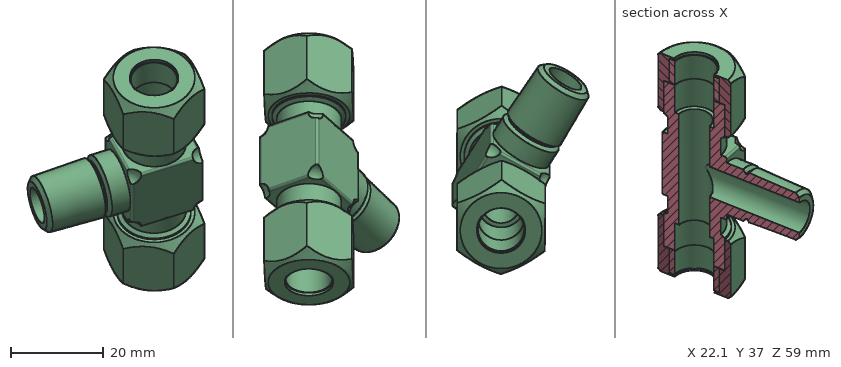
import cadquery as cq
import math


run_half = 29.5
stud_reach = 27.5
bore_radius = 4.0

block_x = 15.0
block_y = 17.0
block_z = 17.0
block_edge_fillet = 0.55
corner_scoop_radius = 2.4
scoop_turn = 30

neck_radius = 7.0
thread_radius = 8.0
neck_end = 13.0
runout_angle = 30
thread_start = neck_end + (thread_radius - neck_radius) * math.tan(math.radians(runout_angle))
tube_radius = 5.0
tube_stop = 15.0

stud_shoulder_end = 12.8
groove_radius = 6.1
groove_start = 13.5
groove_end = 13.7
stud_thread_start = 14.3
stud_thread_length = 12.3
stud_thread_radius = 6.8
stud_taper = 1 / 32
stud_tip_radius = 5.4

nut_across_corners = 22.05
nut_length = 15.6
nut_face_radius = 8.85
nut_hole_radius = 5.25
nut_lip = 0.7
nut_base = run_half - nut_length

sleeve_radius = 6.5
sleeve_length = 6.4
sleeve_top = run_half - nut_lip
arm_end = sleeve_top - sleeve_length


def cylinder(radius, bottom, top):
    """Upright cylinder on the Z axis between two heights."""
    return cq.Workplane("XY").workplane(offset=bottom).circle(radius).extrude(top - bottom)


def centre_block():
    """Block with rounded edges and a spherical scoop at each corner."""
    block = cq.Workplane("XY").box(block_x, block_y, block_z)
    corners = block.vertices().vals()
    block = block.edges().fillet(block_edge_fillet)
    scoop = cq.Workplane("XY").sphere(corner_scoop_radius).rotate((0, 0, 0), (0, 0, 1), scoop_turn)
    for corner in corners:
        block = block.cut(scoop.translate(corner.Center()))
    return block


def run_arm():
    """Upper arm: plain neck, thread run-out cone and thread cylinder."""
    profile = [
        (0, 0),
        (neck_radius, 0),
        (neck_radius, neck_end),
        (thread_radius, thread_start),
        (thread_radius, arm_end),
        (0, arm_end),
    ]
    return cq.Workplane("XZ").polyline(profile).close().revolve(360, (0, 0), (0, 1))


def male_stud():
    """Stud toward -Y: shoulder, V groove, tapered thread and chamfered tip."""
    thread_end = stud_thread_start + stud_thread_length
    thread_end_radius = stud_thread_radius - stud_thread_length * stud_taper
    profile = [
        (0, 0),
        (neck_radius, 0),
        (neck_radius, -stud_shoulder_end),
        (groove_radius, -groove_start),
        (groove_radius, -groove_end),
        (stud_thread_radius, -stud_thread_start),
        (thread_end_radius, -thread_end),
        (stud_tip_radius, -stud_reach),
        (0, -stud_reach),
    ]
    return cq.Workplane("XY").polyline(profile).close().revolve(360, (0, 0), (0, 1))


def make_tee_body():
    """Tee with a through bore, a side bore and a tube socket in each arm."""
    upper_arm = run_arm()
    tee = centre_block().union(upper_arm).union(upper_arm.mirror("XY")).union(male_stud())
    side_bore = cq.Workplane("XZ").circle(bore_radius).extrude(stud_reach)
    socket = cylinder(tube_radius, tube_stop, arm_end)
    tee = tee.cut(cylinder(bore_radius, -arm_end, arm_end)).cut(side_bore)
    return tee.cut(socket).cut(socket.mirror("XY"))


def make_nut():
    """Upper hex nut, chamfered at 45 degrees on both faces, stepped inside."""
    hexagon = (
        cq.Workplane("XY").workplane(offset=nut_base).polygon(6, nut_across_corners).extrude(nut_length)
    )
    corner_radius = nut_across_corners / 2
    chamfer = corner_radius - nut_face_radius
    envelope = cylinder(corner_radius, nut_base, run_half).faces("<Z or >Z").chamfer(chamfer)
    nut = hexagon.intersect(envelope)
    nut = nut.cut(cylinder(thread_radius, nut_base, arm_end))
    nut = nut.cut(cylinder(sleeve_radius, arm_end, sleeve_top))
    return nut.cut(cylinder(nut_hole_radius, sleeve_top, run_half))


def make_sleeve():
    """Upper clamping sleeve around the tube."""
    return cylinder(sleeve_radius, arm_end, sleeve_top).cut(cylinder(tube_radius, arm_end, sleeve_top))


tee_body = make_tee_body()
nuts = []
sleeves = []
for turn in (0, 180):
    nuts.append(make_nut().rotate((0, 0, 0), (1, 0, 0), turn).val())
    sleeves.append(make_sleeve().rotate((0, 0, 0), (1, 0, 0), turn).val())

result = cq.Compound.makeCompound([tee_body.val(), *nuts, *sleeves])